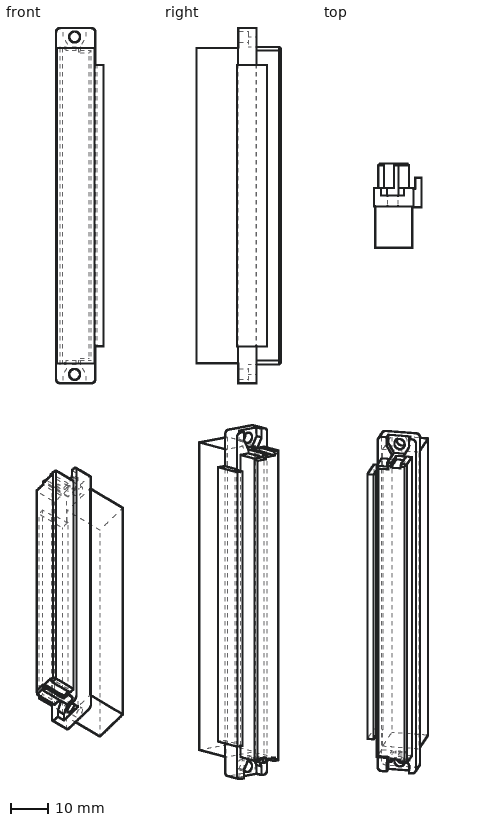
import cadquery as cq
import math

overall_x = 12.7
overall_y = 22.6
overall_z = 94.8

flange_width = 10.5
flange_back = 11.1
flange_front = 16.0
flange_corner_radius = 1.1

body_width = 10.0
body_length = 84.2

mating_width = 8.25
mating_length = 84.75
mating_chamfer = 0.6

recess_depth = 1.0
keyway_start = 2.75
keyway_width = 2.7
rib_width = 1.1

hole_diameter = 2.8
nut_across_corners = 6.1
nut_pocket_depth = 2.1

rail_length = 75.1
rail_thickness = 1.7
rail_back = 10.8
rail_front = 18.8
rail_web_front = 15.8

flange_center_x = flange_width / 2
flange_depth = flange_front - flange_back
mating_left = flange_center_x - mating_width / 2
mating_right = flange_center_x + mating_width / 2
keyway_end = keyway_start + keyway_width
step_start = keyway_end + rib_width
hole_x = body_width / 2
nut_half_flats = nut_across_corners / 2 * math.cos(math.pi / 6)
hole_offset = mating_length / 2 + nut_half_flats
pocket_floor = flange_front - nut_pocket_depth


def block(x_min, x_max, y_min, y_max, z_min, z_max):
    """Axis-aligned box given by its limits."""
    size = (x_max - x_min, y_max - y_min, z_max - z_min)
    return cq.Workplane("XY").box(*size, centered=False).translate((x_min, y_min, z_min))


def centered_block(x_min, x_max, y_min, y_max, length):
    """Box centred on the mid-length plane."""
    return block(x_min, x_max, y_min, y_max, -length / 2, length / 2)


def make_flange():
    flange = centered_block(0, flange_width, flange_back, flange_front, overall_z)
    return flange.edges("|Y").fillet(flange_corner_radius)


def make_body():
    left = flange_center_x - body_width / 2
    return centered_block(left, left + body_width, 0, flange_back, body_length)


def end_recess(x_min, x_max):
    """Matching recesses in both ends of the mating block."""
    end = mating_length / 2
    upper = block(x_min, x_max, flange_front, overall_y, end - recess_depth, end)
    return upper.union(upper.mirror("XY"))


def make_mating_block():
    mating = centered_block(mating_left, mating_right, flange_front, overall_y, mating_length)
    mating = mating.cut(end_recess(step_start, mating_right))
    mating = mating.faces(">Y").edges().chamfer(mating_chamfer)
    return mating.cut(end_recess(keyway_start, keyway_end))


def make_rail():
    rail_left = overall_x - rail_thickness
    web = centered_block(flange_center_x, rail_left, rail_back, rail_web_front, rail_length)
    return web.union(centered_block(rail_left, overall_x, rail_back, rail_front, rail_length))


def nut_pocket(side):
    """Hexagonal nut pocket, open toward the flange end on the given side."""
    hole_z = side * hole_offset
    plane = cq.Workplane("XZ", origin=(hole_x, flange_front, hole_z))
    hexagon = plane.polygon(6, nut_across_corners).extrude(nut_pocket_depth)
    half = nut_across_corners / 2
    z_limits = sorted((hole_z, side * overall_z / 2))
    return hexagon.union(block(hole_x - half, hole_x + half, pocket_floor, flange_front, *z_limits))


def mounting_hole(side):
    plane = cq.Workplane("XZ", origin=(hole_x, flange_front, side * hole_offset))
    return plane.circle(hole_diameter / 2).extrude(flange_depth)


flange = make_flange()
for side in (1, -1):
    flange = flange.cut(nut_pocket(side)).cut(mounting_hole(side))

result = flange.union(make_body()).union(make_mating_block()).union(make_rail())